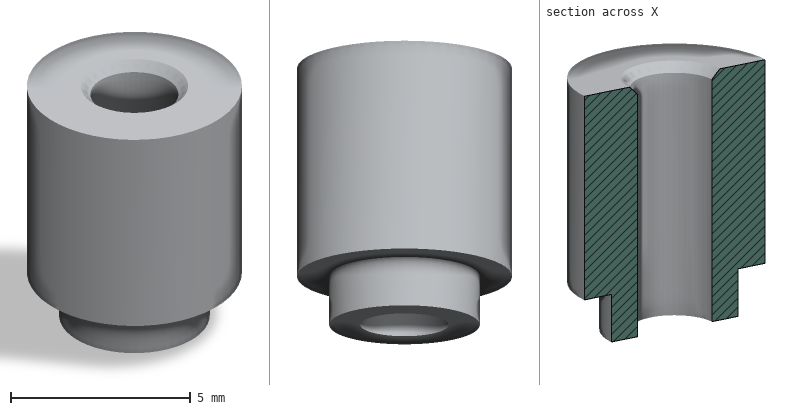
import cadquery as cq

total_height = 7.4
body_diameter = 6.0
spigot_diameter = 4.2
body_height = 6.0
spigot_height = total_height - body_height

bore_diameter = 2.46
countersink_diameter = 3.0
countersink_depth = (countersink_diameter - bore_diameter) / 2

spigot = cq.Workplane("XY").circle(spigot_diameter / 2).extrude(spigot_height)
spacer = spigot.faces(">Z").workplane().circle(body_diameter / 2).extrude(body_height)

spacer = spacer.faces(">Z").workplane().hole(bore_diameter)
top_bore_edge = cq.selectors.RadiusNthSelector(0)
result = spacer.faces(">Z").edges(top_bore_edge).chamfer(countersink_depth)